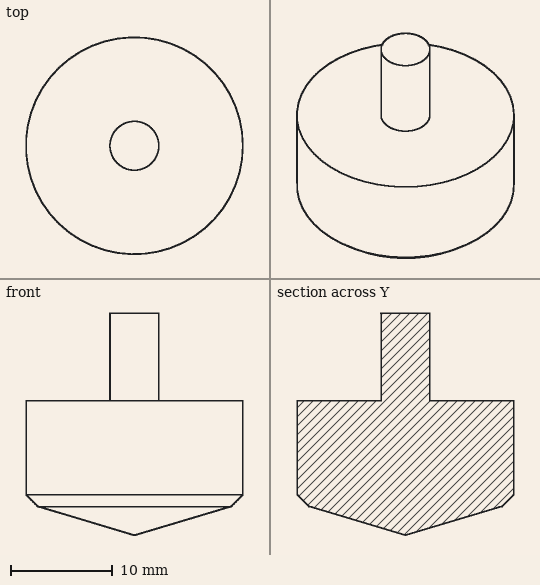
import cadquery as cq

total_height = 21.8
body_diameter = 21.3
pin_diameter = 4.8
pin_height = 8.6
chamfer = 1.15
cone_height = 2.83

body_radius = body_diameter / 2
pin_radius = pin_diameter / 2
cone_radius = body_radius - chamfer
bevel_top = cone_height + chamfer
shoulder = total_height - pin_height

profile = (
    cq.Workplane("XZ")
    .moveTo(0, 0)
    .lineTo(cone_radius, cone_height)
    .lineTo(body_radius, bevel_top)
    .lineTo(body_radius, shoulder)
    .lineTo(pin_radius, shoulder)
    .lineTo(pin_radius, total_height)
    .lineTo(0, total_height)
    .close()
)

result = profile.revolve(360, (0, 0, 0), (0, 1, 0))